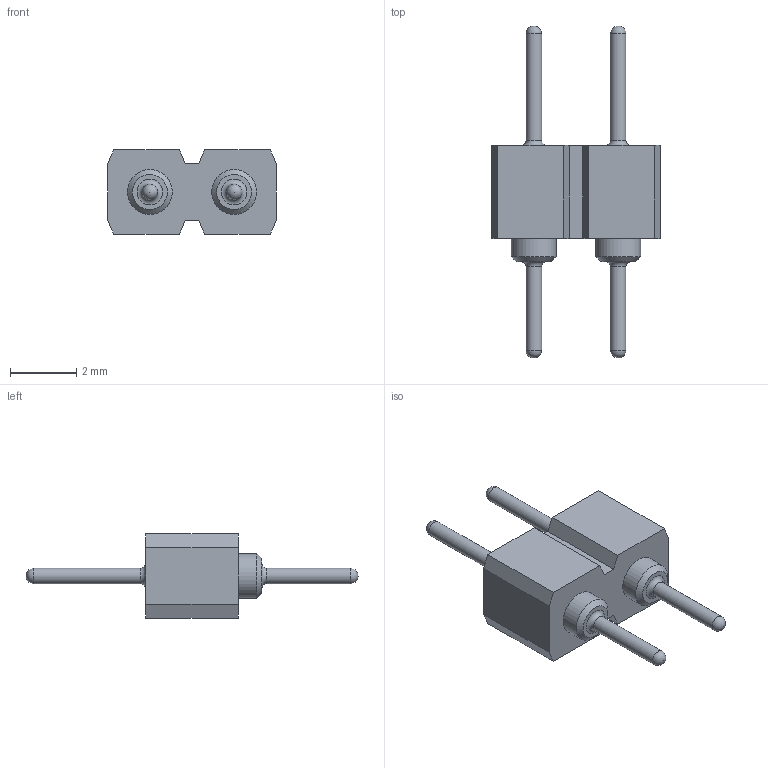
import cadquery as cq
import math

pitch = 2.54
pin_count = 2

body_height = 2.54
body_length = 2.8
bevel_width = 0.18
bevel_height = 0.42
notch_floor_width = 0.4

overall_length = 10.0
pin_radius = 0.47 / 2
root_fillet = 0.15
collar_radius = 1.35 / 2
collar_length = 0.7
collar_chamfer = 0.15

body_width = pitch * pin_count
half_height = body_height / 2
half_length = body_length / 2
pin_end = overall_length / 2
bevel_base_z = half_height - bevel_height
collar_end = half_length + collar_length
diagonal = math.sqrt(0.5)
pin_positions = [(i - (pin_count - 1) / 2) * pitch for i in range(pin_count)]
notch_positions = [x + pitch / 2 for x in pin_positions[:-1]]


def body_top_edge():
    """Upper half of the body section, left to right, dipping into each notch."""
    points = [(-body_width / 2, bevel_base_z), (-body_width / 2 + bevel_width, half_height)]
    for x in notch_positions:
        floor_edge = notch_floor_width / 2
        notch_edge = floor_edge + bevel_width
        points += [
            (x - notch_edge, half_height),
            (x - floor_edge, bevel_base_z),
            (x + floor_edge, bevel_base_z),
            (x + notch_edge, half_height),
        ]
    points += [(body_width / 2 - bevel_width, half_height), (body_width / 2, bevel_base_z)]
    return points


def make_body():
    """Prism along Y whose section is mirrored about the horizontal mid-plane."""
    top = body_top_edge()
    bottom = [(x, -z) for x, z in reversed(top)]
    return cq.Workplane("XZ").polyline(top + bottom).close().extrude(half_length, both=True)


def make_pin_half(root_y):
    """Half pin from the middle of the body toward +Y, filleted at root_y, with a hemispherical tip."""
    root_radius = pin_radius + root_fillet
    fillet_mid = (root_radius - root_fillet * diagonal, root_y + root_fillet * (1 - diagonal))
    tip_start = pin_end - pin_radius
    tip_mid = (pin_radius * diagonal, tip_start + pin_radius * diagonal)
    profile = (
        cq.Workplane("XY")
        .lineTo(root_radius, 0)
        .lineTo(root_radius, root_y)
        .threePointArc(fillet_mid, (pin_radius, root_y + root_fillet))
        .lineTo(pin_radius, tip_start)
        .threePointArc(tip_mid, (0, pin_end))
        .close()
    )
    return profile.revolve(360, (0, 0), (0, 1))


def make_collar():
    """Round shoulder on the -Y side of the body with a chamfered front edge."""
    return (
        cq.Workplane("XZ")
        .circle(collar_radius)
        .extrude(collar_end)
        .faces("<Y")
        .chamfer(collar_chamfer)
    )


def make_pin():
    """Whole pin: plain tail toward +Y, collar and tail toward -Y."""
    rear = make_pin_half(half_length)
    front = make_pin_half(collar_end).mirror("XZ")
    return rear.union(front).union(make_collar())


result = make_body()
pin = make_pin()
for pin_x in pin_positions:
    result = result.union(pin.translate((pin_x, 0, 0)))